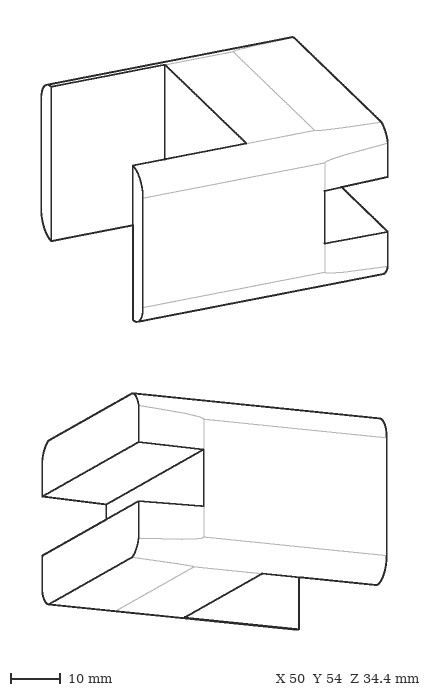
import cadquery as cq
import math

width = 50.0
length = 54.0
height = 34.4
corner_radius = 5.0

cheek_thickness = corner_radius
opening_depth = 25.0

tail_length = 14.05
slot_height = 11.7
draft_angle = 1.0

tail_start = length - tail_length
tail_inset = tail_length * math.tan(math.radians(draft_angle))


def section(y, x_size, z_size):
    """Rectangle in the XZ plane at position y, facing +Y."""
    plane = cq.Plane(origin=(0, y, 0), xDir=(1, 0, 0), normal=(0, 1, 0))
    return cq.Workplane(plane).rect(x_size, z_size)


def rounded_body():
    """Full-length bar with its four long edges rounded."""
    return section(0, width, height).extrude(length).edges("|Y").fillet(corner_radius)


def draft_envelope():
    """Straight block followed by a tail that narrows on all four sides."""
    straight = section(0, width, height).extrude(tail_start)
    tail = section(tail_start, width, height).extrude(tail_length, taper=draft_angle)
    return straight.union(tail)


def cheek_opening():
    """Clearance between the cheeks, open at the top, bottom and front."""
    return section(0, width - 2 * cheek_thickness, height).extrude(opening_depth)


def tail_slot():
    """Slot across the full width, widening towards the end of the tail."""
    half_inner = slot_height / 2
    half_outer = half_inner + tail_inset
    profile = [
        (tail_start, -half_inner),
        (length, -half_outer),
        (length, half_outer),
        (tail_start, half_inner),
    ]
    return cq.Workplane("YZ").polyline(profile).close().extrude(width / 2, both=True)


result = rounded_body().intersect(draft_envelope()).cut(cheek_opening()).cut(tail_slot())